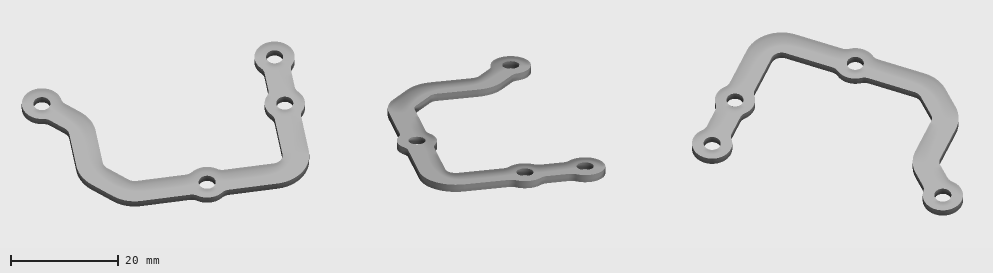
import cadquery as cq
import math

length = 53.0
thickness = 1.5
band_width = 5.0
eye_radius = 3.75
hole_diameter = 3.2
inner_bend_radius = 2.0
neck_radius = 2.0
arm_angle = 45.0

start_eye = (0.0, 0.0)
first_bend_x = 8.9
drop = 8.25
lower_eye_x = 36.25
top_eye = (28.7, 34.5)
eye_spacing = 11.5

diagonal = math.sin(math.radians(arm_angle))
middle_eye = (top_eye[0] + eye_spacing * diagonal, top_eye[1] - eye_spacing * diagonal)

bend_radius = inner_bend_radius + band_width / 2
right_end = length - eye_radius
right_corner_x = right_end - bend_radius - band_width / 2 + bend_radius / diagonal
right_corner = (right_corner_x, top_eye[0] + top_eye[1] - right_corner_x)

rising_offset = right_corner[0] - right_corner[1]
lower_eye = (lower_eye_x, lower_eye_x - rising_offset)
center_line = [
    start_eye,
    (first_bend_x, 0.0),
    (first_bend_x + drop, -drop),
    (rising_offset - drop, -drop),
    right_corner,
    top_eye,
]

eyes = [
    (start_eye, [0.0]),
    (lower_eye, [arm_angle, arm_angle + 180]),
    (middle_eye, [-arm_angle, 180 - arm_angle]),
    (top_eye, [-arm_angle]),
]


def polar_point(center, radius, degrees):
    angle = math.radians(degrees)
    return cq.Vector(
        center[0] + radius * math.cos(angle),
        center[1] + radius * math.sin(angle),
        thickness / 2,
    )


def rounded_path(points, radius):
    """Centre line with a tangent arc at every bend."""
    path = cq.Workplane("XY", origin=(0, 0, thickness / 2)).moveTo(*points[0])
    for before, corner, after in zip(points, points[1:], points[2:]):
        bend = cq.Vector(*corner)
        back = (cq.Vector(*before) - bend).normalized()
        ahead = (cq.Vector(*after) - bend).normalized()
        half_angle = back.getAngle(ahead) / 2
        setback = radius / math.tan(half_angle)
        entry = bend + back * setback
        leave = bend + ahead * setback
        apex = bend + (back + ahead).normalized() * (radius / math.sin(half_angle) - radius)
        path = path.lineTo(entry.x, entry.y)
        path = path.threePointArc((apex.x, apex.y), (leave.x, leave.y))
    return path.lineTo(*points[-1])


def make_band():
    path = rounded_path(center_line, bend_radius)
    section = cq.Workplane("YZ", origin=(0, 0, thickness / 2)).rect(band_width, thickness)
    return section.sweep(path)


def make_eye(center, direction):
    eye = cq.Workplane("XY").circle(eye_radius).extrude(thickness)
    return eye.rotate((0, 0, 0), (0, 0, 1), direction).translate((*center, 0))


def round_necks(body):
    """Fillet the inside edges where the band meets the eyes."""
    neck_angle = math.degrees(math.asin(band_width / 2 / eye_radius))
    for center, directions in eyes:
        for direction in directions:
            for side in (-neck_angle, neck_angle):
                neck = polar_point(center, eye_radius, direction + side)
                edge = body.edges("|Z").edges(cq.NearestToPointSelector(neck.toTuple()))
                body = edge.fillet(neck_radius)
    return body


body = make_band()
for center, directions in eyes:
    body = body.union(make_eye(center, directions[0]))
body = round_necks(body)

holes = (
    cq.Workplane("XY")
    .pushPoints([center for center, directions in eyes])
    .circle(hole_diameter / 2)
    .extrude(thickness)
)
result = body.cut(holes)